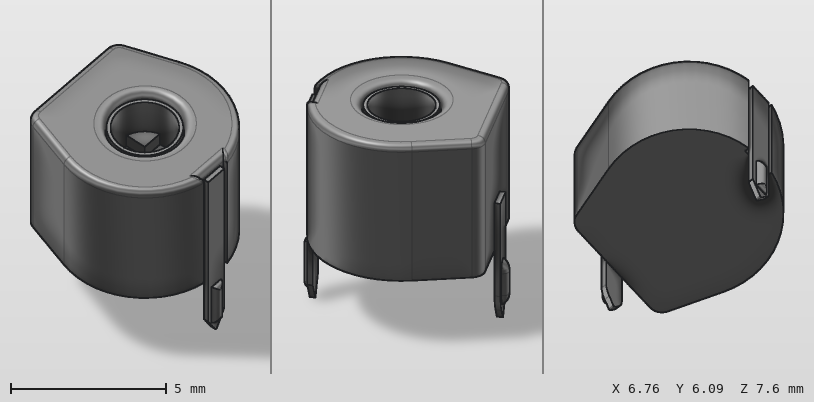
import cadquery as cq
import math


body_diameter = 6.09
body_radius = body_diameter / 2
flat_x = -3.14
taper_angle = 18.4
corner_radius = 0.5
body_bottom = 2.615
body_top = 7.6
top_fillet = 0.25

notch_x = 2.835
notch_half_width = 0.57

socket_diameter = 2.54
socket_rim_radius = 0.38
rotor_diameter = 2.46
rotor_top = body_top - 0.2
bore_diameter = 2.205
bore_floor = rotor_top - 1.375
gap_floor = bore_floor
cross_x_arm_width = 0.64
cross_y_arm_width = 0.555
cross_depth = 0.5

pin_width = 0.8
left_pin_top = 4.38
right_pin_top = 7.235
left_pin_thickness = 0.2
right_pin_thickness = 0.18
tip_half_angle = 29
tip_radius = 0.05
left_shoulder_radius = 1.215

bead_bottom = 0.495
bead_top = 2.16
bead_radius = 0.235
left_bead_height = 0.22
left_bead_straight = 0.805
right_bead_height = 0.18


def make_housing():
    """Round block with one flat side, tapered walls and a notch, rounded along its top edge."""
    taper = math.radians(taper_angle)
    tangent_x = -body_radius * math.sin(taper)
    tangent_y = body_radius * math.cos(taper)
    corner_y = tangent_y - (tangent_x - flat_x) * math.tan(taper)
    height = body_top - body_bottom

    block = (
        cq.Workplane("XY", origin=(0, 0, body_bottom))
        .moveTo(flat_x, -corner_y)
        .lineTo(tangent_x, -tangent_y)
        .threePointArc((body_radius, 0), (tangent_x, tangent_y))
        .lineTo(flat_x, corner_y)
        .close()
        .extrude(height)
    )
    block = block.edges("|Z and <X").fillet(corner_radius)
    notch = cq.Workplane("XY", origin=(notch_x, 0, 0)).box(
        body_radius, 2 * notch_half_width, body_top, centered=(False, True, False)
    )
    return block.cut(notch).faces(">Z").edges().fillet(top_fillet)


def cylinder(diameter, bottom, top):
    """Upright cylinder on the screw axis."""
    return cq.Workplane("XY", origin=(0, 0, bottom)).circle(diameter / 2).extrude(top - bottom)


def add_screw(housing):
    """Socket with a rounded mouth, holding a hollow rotor with a cross recess in its floor."""
    socket = cylinder(socket_diameter, gap_floor, body_top)
    socketed = housing.cut(socket)
    around_mouth = cq.selectors.BoxSelector(
        (-socket_diameter, -socket_diameter, body_top - top_fillet),
        (socket_diameter, socket_diameter, body_top + top_fillet),
        boundingbox=True,
    )
    socketed = socketed.edges("%CIRCLE").edges(around_mouth).fillet(socket_rim_radius)

    rotor = cylinder(rotor_diameter, gap_floor, rotor_top)
    bore = cylinder(bore_diameter, bore_floor, rotor_top)
    x_arm = cq.Workplane("XY").box(bore_diameter, cross_x_arm_width, cross_depth)
    y_arm = cq.Workplane("XY").box(cross_y_arm_width, bore_diameter, cross_depth)
    cross = x_arm.union(y_arm).translate((0, 0, bore_floor - cross_depth / 2))
    cross = cross.intersect(cylinder(bore_diameter, bore_floor - cross_depth, bore_floor))
    return socketed.union(rotor.cut(bore)).cut(cross)


def make_pin(low_x, thickness, top):
    """Flat pin growing in +X from low_x, with a pointed, slightly rounded tip."""
    half_angle = math.radians(tip_half_angle)
    apex_z = tip_radius - tip_radius / math.sin(half_angle)
    shoulder_z = apex_z + pin_width / 2 / math.tan(half_angle)
    pin = (
        cq.Workplane("YZ", origin=(low_x, 0, 0))
        .moveTo(0, apex_z)
        .lineTo(pin_width / 2, shoulder_z)
        .lineTo(pin_width / 2, top)
        .lineTo(-pin_width / 2, top)
        .lineTo(-pin_width / 2, shoulder_z)
        .close()
        .extrude(thickness)
    )
    return pin.edges("|X and <Z").fillet(tip_radius)


def round_shoulders(pin):
    """Blend the straight sides of a pin into its tapered tip."""
    around_shoulders = cq.selectors.BoxSelector(
        (-2 * body_radius, -pin_width, pin_width / 2),
        (2 * body_radius, pin_width, body_bottom),
    )
    return pin.edges("|X").edges(around_shoulders).fillet(left_shoulder_radius)


def make_left_bead(face_x):
    """Half-round bead standing out in -X, its ends bending back into the pin."""
    middle_z = (bead_bottom + bead_top) / 2
    end_length = (bead_top - bead_bottom - left_bead_straight) / 2
    crest_radius = (end_length**2 + left_bead_height**2) / (2 * left_bead_height)
    bend_radius = crest_radius - bead_radius
    bend_x = face_x - left_bead_height + crest_radius
    bar_x = bend_x - bend_radius

    bar_bottom = middle_z - left_bead_straight / 2
    start = cq.Workplane("XY", origin=(bar_x, 0, bar_bottom))
    bead = start.circle(bead_radius).extrude(left_bead_straight)
    lower_end = start.circle(bead_radius).revolve(90, (bend_radius, 0), (bend_radius, -1))
    upper_end = lower_end.mirror("XY", (0, 0, middle_z))
    bead = bead.union(lower_end).union(upper_end)
    outside = cq.Workplane("XY", origin=(face_x - left_bead_height / 2, 0, middle_z)).box(
        left_bead_height, pin_width, bead_top
    )
    return bead.intersect(outside)


def make_right_bead(face_x):
    """Half-round bead standing out in +X, rounded off at both ends."""
    length = bead_top - bead_bottom
    half_round = (
        cq.Workplane("XY", origin=(face_x, 0, bead_bottom))
        .moveTo(0, -bead_radius)
        .threePointArc((right_bead_height, 0), (0, bead_radius))
        .close()
        .extrude(length)
    )
    side_outline = (
        cq.Workplane("XZ", origin=(face_x, 0, bead_bottom))
        .radiusArc((right_bead_height, right_bead_height), -right_bead_height)
        .lineTo(right_bead_height, length - right_bead_height)
        .radiusArc((0, length), -right_bead_height)
        .close()
        .extrude(pin_width / 2, both=True)
    )
    return half_round.intersect(side_outline)


left_face_x = flat_x - left_pin_thickness
right_face_x = notch_x + right_pin_thickness

left_pin = round_shoulders(make_pin(left_face_x, left_pin_thickness, left_pin_top))
left_pin = left_pin.union(make_left_bead(left_face_x))
right_pin = make_pin(notch_x, right_pin_thickness, right_pin_top)
right_pin = right_pin.union(make_right_bead(right_face_x))

result = add_screw(make_housing()).union(left_pin).union(right_pin)